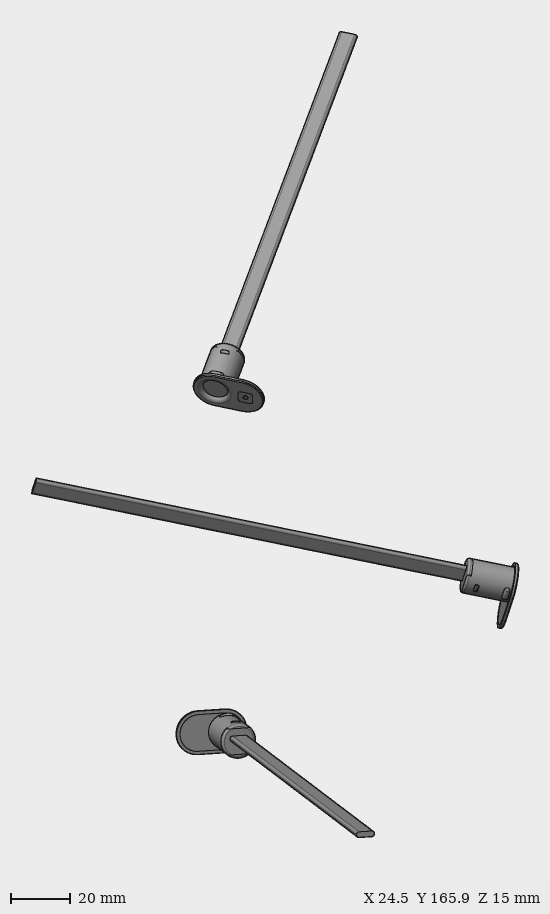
import cadquery as cq
import math

TOTAL_LENGTH = 165.9

FLANGE_LENGTH = 24.5
FLANGE_HEIGHT = 15.0
FLANGE_THICKNESS = 1.2
FLANGE_EDGE_CHAMFER = 0.3
FLANGE_CENTRE_X = (FLANGE_LENGTH - FLANGE_HEIGHT) / 2

GASKET_MARGIN = 1.2
GASKET_THICKNESS = 0.7

BARREL_RADIUS = 6.0
BARREL_END = 17.1
BARREL_END_ROUND = 0.8
DISH_RADIUS = 5.8
DISH_ROUND = 1.5
DISH_FLOOR_RADIUS = DISH_RADIUS - DISH_ROUND

DETENT_ROUND = 1.3
DETENT_HEIGHT = 0.5
DETENT_LENGTH = 5.3
DETENT_Y = 2.7
DETENT_PATH_RADIUS = BARREL_RADIUS + DETENT_HEIGHT - DETENT_ROUND

LATCH_WIDTH = 3.0
LATCH_THICKNESS = 1.5
LATCH_Y = 13.0
LATCH_RAMP_ANGLE = 35.0

END_BAR_HEIGHT = 9.0
END_BAR_DEPTH = 1.5

STRIP_WIDTH = 6.3
STRIP_THICKNESS = 2.0
STRIP_ROUND = 0.91

TILE_SIDE = 5.0
TILE_CORNER_ROUND = 1.0
TILE_DEPTH = 0.5
TILE_CENTRE_X = 10.8
DIMPLE_RADIUS = 0.8
DIMPLE_DEPTH = 0.2


def section_at(y, x=0, z=0):
    """XZ workplane at the given Y; a negative extrusion goes toward +Y."""
    return cq.Workplane("XZ", origin=(x, y, z))


def make_barrel_solid():
    barrel = section_at(0).circle(BARREL_RADIUS).extrude(-BARREL_END)
    return barrel.faces(">Y").edges().fillet(BARREL_END_ROUND)


def make_dish():
    """Revolved cutter: a flat floor joined to the front face by a convex rounded lip."""
    lip_turn = DISH_ROUND * math.sqrt(0.5)
    profile = (
        cq.Workplane("XY")
        .lineTo(DISH_RADIUS, 0)
        .threePointArc(
            (DISH_RADIUS - lip_turn, DISH_ROUND - lip_turn),
            (DISH_FLOOR_RADIUS, DISH_ROUND),
        )
        .lineTo(0, DISH_ROUND)
        .close()
    )
    return profile.revolve(360, (0, 0, 0), (0, 1, 0))


def make_detent():
    """Ridge along the top of the barrel, curved round the Y axis, with ball-shaped ends."""
    half_angle = math.degrees((DETENT_LENGTH / 2 - DETENT_ROUND) / DETENT_PATH_RADIUS)
    ridge = (
        cq.Workplane("YZ")
        .center(DETENT_Y, DETENT_PATH_RADIUS)
        .circle(DETENT_ROUND)
        .revolve(2 * half_angle, (0, -DETENT_PATH_RADIUS, 0), (1, -DETENT_PATH_RADIUS, 0))
        .rotate((0, 0, 0), (0, 1, 0), -half_angle)
    )
    ball = cq.Workplane("XY").sphere(DETENT_ROUND).translate((0, DETENT_Y, DETENT_PATH_RADIUS))
    for angle in (-half_angle, half_angle):
        ridge = ridge.union(ball.rotate((0, 0, 0), (0, 1, 0), angle))
    return ridge


def make_gasket():
    length = FLANGE_LENGTH - 2 * GASKET_MARGIN
    height = FLANGE_HEIGHT - 2 * GASKET_MARGIN
    front = FLANGE_THICKNESS - GASKET_THICKNESS
    plate = section_at(front, FLANGE_CENTRE_X).slot2D(length, height).extrude(-GASKET_THICKNESS)
    return plate.cut(make_barrel_solid())


def make_latch_blank():
    """Crossbar before its ends are ramped; also the cutter for its passage through the barrel."""
    latch = (
        cq.Workplane("XY", origin=(0, LATCH_Y, -BARREL_RADIUS))
        .slot2D(LATCH_WIDTH, LATCH_THICKNESS)
        .extrude(2 * BARREL_RADIUS)
    )
    return latch.intersect(make_barrel_solid())


def ramp_latch(latch):
    """Slope both ends of the crossbar, lowest on the flange side."""
    back = LATCH_THICKNESS / 2
    drop = LATCH_THICKNESS * math.tan(math.radians(LATCH_RAMP_ANGLE))
    top = BARREL_RADIUS
    wedge = (
        cq.Workplane("YZ", origin=(0, LATCH_Y, 0))
        .polyline([(back, top), (-back, top), (-back, top - drop)])
        .close()
        .extrude(LATCH_WIDTH / 2, both=True)
    )
    return latch.cut(wedge).cut(wedge.mirror("XY"))


def make_end_bar_blank():
    """End bar before the strip passes through it; also the cutter for its slot in the barrel."""
    block = (
        section_at(BARREL_END - END_BAR_DEPTH)
        .rect(2 * BARREL_RADIUS, END_BAR_HEIGHT)
        .extrude(-END_BAR_DEPTH)
    )
    return make_barrel_solid().intersect(block)


def make_strip():
    start = BARREL_END - END_BAR_DEPTH
    return (
        section_at(start, z=STRIP_THICKNESS / 2)
        .rect(STRIP_WIDTH, STRIP_THICKNESS)
        .extrude(start - TOTAL_LENGTH)
        .edges("|Y")
        .fillet(STRIP_ROUND)
    )


def make_tile_blank():
    """Tile before its dimple is cut; also the cutter for its recess in the flange."""
    return (
        section_at(0, TILE_CENTRE_X)
        .rect(TILE_SIDE, TILE_SIDE)
        .extrude(-TILE_DEPTH)
        .edges("|Y")
        .fillet(TILE_CORNER_ROUND)
    )


def make_dimple():
    return section_at(0, TILE_CENTRE_X).circle(DIMPLE_RADIUS).extrude(-DIMPLE_DEPTH)


def make_housing():
    flange = (
        section_at(0, FLANGE_CENTRE_X)
        .slot2D(FLANGE_LENGTH, FLANGE_HEIGHT)
        .extrude(-FLANGE_THICKNESS)
        .faces("<Y")
        .edges()
        .chamfer(FLANGE_EDGE_CHAMFER)
    )
    detent = make_detent()
    return (
        flange.cut(make_gasket())
        .union(make_barrel_solid())
        .union(detent)
        .union(detent.mirror("XY"))
        .cut(make_dish())
    )


strip = make_strip()
gasket = make_gasket()
latch_blank = make_latch_blank()
end_bar_blank = make_end_bar_blank()
tile_blank = make_tile_blank()

housing = make_housing().cut(latch_blank).cut(end_bar_blank).cut(tile_blank)
latch = ramp_latch(latch_blank)
end_bar = end_bar_blank.cut(strip)
tile = tile_blank.cut(make_dimple())

bodies = [housing, gasket, end_bar, strip, latch, tile]
result = cq.Compound.makeCompound([body.solids().val() for body in bodies])